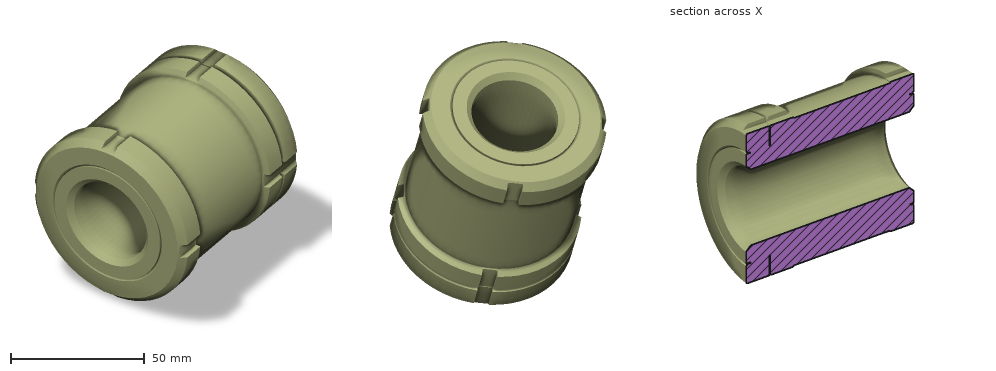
import cadquery as cq
import math

length = 77.0
nut_diameter = 70.0
nut_width = 11.0
nut_edge_chamfer = 2.7

ring_width = 11.0
nut_gap = 0.3
ring_chamfer_angle = 30.0

body_diameter = 64.75

sleeve_diameter = 48.1
sleeve_bore_diameter = 33.0
bore_chamfer = 2.2

nut_hole_diameter = 48.38
nut_hole_mouth_diameter = 50.0
clearance_depth = 2.0

slot_count = 4
slot_width = 5.8
slot_floor_distance = 32.8
slot_overcut = 1.0

nut_radius = nut_diameter / 2
body_radius = body_diameter / 2
sleeve_radius = sleeve_diameter / 2
bore_radius = sleeve_bore_diameter / 2
nut_hole_radius = nut_hole_diameter / 2
mouth_radius = nut_hole_mouth_diameter / 2

front_y = -length / 2
rear_y = length / 2
front_nut_back_y = front_y + nut_width
rear_nut_front_y = rear_y - nut_width + nut_gap
ring_back_y = rear_y - nut_width
ring_front_y = ring_back_y - ring_width
ring_chamfer_length = (nut_radius - body_radius) * math.tan(math.radians(ring_chamfer_angle))


def revolve_profile(points):
    """Revolve a closed (radius, y) outline about the Y axis."""
    return cq.Workplane("XY").polyline(points).close().revolve(360, (0, 0, 0), (0, 1, 0))


def make_turned_body():
    """Nuts, ring, body and sleeve with the chamfered bore through them."""
    edge_radius = nut_radius - nut_edge_chamfer
    return revolve_profile([
        (bore_radius + bore_chamfer, front_y),
        (edge_radius, front_y),
        (nut_radius, front_y + nut_edge_chamfer),
        (nut_radius, front_nut_back_y),
        (body_radius, front_nut_back_y),
        (body_radius, ring_front_y),
        (nut_radius, ring_front_y + ring_chamfer_length),
        (nut_radius, ring_back_y - ring_chamfer_length),
        (body_radius, ring_back_y),
        (sleeve_radius, ring_back_y),
        (sleeve_radius, rear_nut_front_y),
        (nut_radius, rear_nut_front_y),
        (nut_radius, rear_y - nut_edge_chamfer),
        (edge_radius, rear_y),
        (bore_radius + bore_chamfer, rear_y),
        (bore_radius, rear_y - bore_chamfer),
        (bore_radius, front_y + bore_chamfer),
    ])


def make_clearance_groove(face_y, inward):
    """Thin ring-shaped groove around the sleeve, chamfered at its mouth."""
    mouth_depth = mouth_radius - nut_hole_radius
    bottom_y = face_y + inward * clearance_depth
    return revolve_profile([
        (sleeve_radius, face_y),
        (mouth_radius, face_y),
        (nut_hole_radius, face_y + inward * mouth_depth),
        (nut_hole_radius, bottom_y),
        (sleeve_radius, bottom_y),
    ])


def cut_slots(part, start_y, end_y):
    """Cut flat-floored spanner slots around the rim between two Y positions."""
    slot_height = nut_radius - slot_floor_distance + slot_overcut
    slot = cq.Workplane("XY").box(
        slot_width, end_y - start_y, slot_height, centered=(True, False, False)
    ).translate((0, start_y, slot_floor_distance))
    for index in range(slot_count):
        angle = index * 360 / slot_count
        part = part.cut(slot.rotate((0, 0, 0), (0, 1, 0), angle))
    return part


result = make_turned_body()
result = result.cut(make_clearance_groove(front_y, 1))
result = result.cut(make_clearance_groove(rear_y, -1))
result = cut_slots(result, front_y, front_nut_back_y)
result = cut_slots(result, ring_front_y, rear_y)